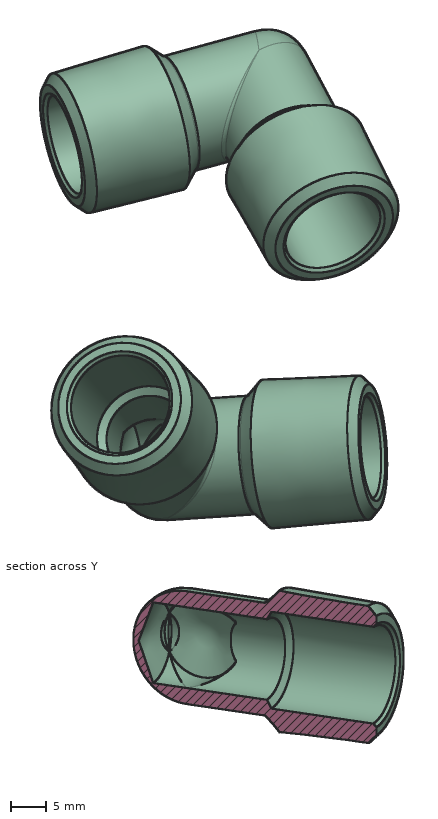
import cadquery as cq
import math

overall_length = 40.65
collar_radius = 10.65
body_radius = 8.5
arm_length = overall_length - collar_radius

neck_end = 12.3
shoulder_start = 12.65
shoulder_start_radius = 8.7
collar_start = 14.65
mouth_chamfer_start = 28.7
mouth_chamfer_radius = 10.33
mouth_radius = 9.0

bore_entry_radius = 7.73
bore_radius = 7.25
bore_entry_depth = 0.5
core_radius = 6.0
bore_end = 13.4
bore_step_length = 0.75
core_depth = 5.3
core_tip_height = 2.28

crease_fillet_radius = 0.5
crease_clearance = 0.8

corner_blend_angle = 15.5
corner_slope = math.tan(math.radians(corner_blend_angle))
corner_reach = 2 * overall_length

ORIGIN = (0, 0, 0)
DIAGONAL_MIRROR_AXIS = (1, -1, 0)


def revolve_about_x(points):
    """Turn a closed half profile of (axial position, radius) points about X."""
    return cq.Workplane("XY").polyline(points).close().revolve(360, ORIGIN, (1, 0, 0))


def prism(points):
    """Extrude a plan outline through the full height of the part."""
    return cq.Workplane("XY").polyline(points).close().extrude(collar_radius, both=True)


def swap_arms(arm):
    """Turn a feature of the +X arm over onto the -Y arm."""
    return arm.rotate(ORIGIN, DIAGONAL_MIRROR_AXIS, 180)


def outer_arm():
    """Outside of the +X arm, trimmed at the miter and at the start of the corner rounding."""
    profile = [
        (-collar_radius, 0),
        (-collar_radius, body_radius),
        (neck_end, body_radius),
        (shoulder_start, shoulder_start_radius),
        (collar_start, collar_radius),
        (mouth_chamfer_start, mouth_chamfer_radius),
        (arm_length, mouth_radius),
        (arm_length, 0),
    ]
    arm_side = [
        (0, 0),
        (collar_radius, -collar_radius),
        (corner_reach, -collar_radius),
        (corner_reach, corner_reach),
        (-corner_slope * corner_reach, corner_reach),
    ]
    return revolve_about_x(profile).intersect(prism(arm_side))


def fillet_crease(arms):
    """Soften the crease where the two arms meet inside the bend."""
    crease_box = cq.selectors.BoxSelector(
        (crease_clearance, -crease_clearance, -body_radius),
        (body_radius, -body_radius, body_radius),
    )
    return arms.edges(crease_box).fillet(crease_fillet_radius)


def rounded_corner():
    """Wedge of the ellipsoid that is tangent to both arms along their trimmed ends."""
    long_axis = math.sqrt(1 + corner_slope)
    short_axis = math.sqrt(1 - corner_slope)
    stretch = cq.Matrix([[long_axis, 0, 0, 0], [0, short_axis, 0, 0], [0, 0, 1, 0]])
    ball = cq.Workplane("YZ").sphere(body_radius).val().transformGeometry(stretch)
    ellipsoid = cq.Workplane("XY").add(ball).rotate(ORIGIN, (0, 0, 1), 135)
    wedge = [
        ORIGIN[:2],
        (-corner_slope * corner_reach, corner_reach),
        (-corner_reach, corner_slope * corner_reach),
    ]
    return ellipsoid.intersect(prism(wedge))


def bore():
    """Stepped bore of the +X arm with its entry chamfer and conical bottom."""
    return revolve_about_x([
        (-core_depth - core_tip_height, 0),
        (-core_depth, core_radius),
        (bore_end - bore_step_length, core_radius),
        (bore_end, bore_radius),
        (arm_length - bore_entry_depth, bore_radius),
        (arm_length, bore_entry_radius),
        (arm_length, 0),
    ])


arm_outside = outer_arm()
arm_bore = bore()
arms = arm_outside.union(swap_arms(arm_outside))
elbow = fillet_crease(arms).union(rounded_corner())
result = elbow.cut(arm_bore).cut(swap_arms(arm_bore))